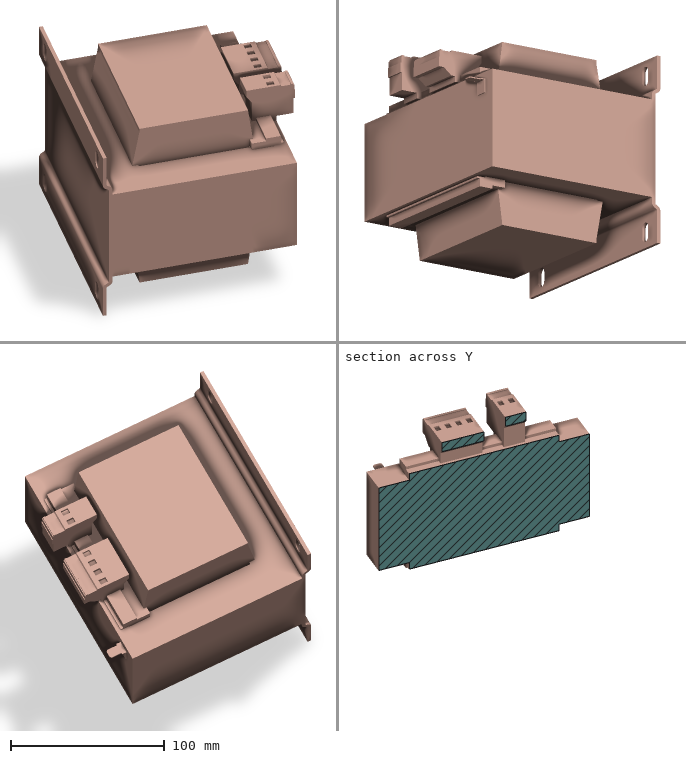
import math

import cadquery as cq


CORE_WIDTH = 150.0
CORE_HEIGHT = 66.5
CORE_DEPTH = 125.0
LIMB = CORE_WIDTH / 6
WINDOW_WIDTH = CORE_WIDTH - 2 * LIMB
CORE_TOP = CORE_HEIGHT / 2

SHEET = 2.5
PLATE_HEIGHT = 127.5
FLANGE_OFFSET = 4.0
FLANGE_BASE = 41.8
BEND_RADIUS = 1.0
BEND_ANGLE = 60.0
SLOT_WIDTH = 6.8
SLOT_LENGTH = 13.0
SLOT_SPACING_X = 122.0
SLOT_SPACING_Z = 106.0

CORE_FRONT = FLANGE_OFFSET + SHEET
CORE_REAR = CORE_FRONT + CORE_DEPTH
WINDOW_FRONT = CORE_FRONT + LIMB
WINDOW_REAR = CORE_REAR - LIMB

COIL_WIDTH = 97.0
COIL_TOP = 62.25
COIL_BASE_FRONT = 27.5
COIL_BASE_REAR = 110.0
COIL_TOP_FRONT = 32.4
COIL_TOP_REAR = 106.0
COIL_FRONT_BAND = 2.5

CARRIER_WIDTH = 106.8
CARRIER_FRONT = 107.1
CARRIER_STEP = 116.8
CARRIER_REAR = 126.8
CARRIER_LOW_TOP = CORE_TOP + 5.2
CARRIER_TOP = CORE_TOP + 7.4
LIP_LENGTH = 2.0
LIP_TOP = CORE_TOP + 2.0
LIP_GAP = 0.75
LIP_GAP_DEPTH = 6.2

TERMINAL_WIDTH = 15.0
LOW_TERMINALS_X = (-2 * TERMINAL_WIDTH, -TERMINAL_WIDTH)
HIGH_TERMINAL_X = TERMINAL_WIDTH
TERMINAL_LIFT = 7.3
TERMINAL_TOP = 56.6
TERMINAL_FRONT = 110.2
TERMINAL_NECK_FRONT = 113.9
TERMINAL_REAR = 143.25
TERMINAL_BODY_REAR = TERMINAL_REAR - 1.1
TERMINAL_LIP_REAR = TERMINAL_REAR - 0.5
TERMINAL_BASE = 39.5
RIDGE_FRONT = 140.4
GROOVE_FRONT = 133.9
GROOVE_SLOPE = 0.6
CUTBACK_TOP_Y = 139.5
CUTBACK_BOTTOM_Y = 133.6
FOOT_BOTTOM = 35.7
FOOT_REAR = 130.6
RIDGE_DROP = 0.6
GROOVE_DROP = 1.1
LIP_TOP_DROP = 1.6
FRONT_FACE_DROP = 5.0
BUMP_TOP_DROP = 5.8
NECK_DROP = 10.0
BUMP_BOTTOM_DROP = 12.4
WIRE_HOLE_FRACTIONS = (0.25, 0.75)
WIRE_HOLE_WIDTH = 3.6
WIRE_HOLE_LENGTH = 5.0
WIRE_HOLE_DEPTH = 2.0
WIRE_HOLE_Y = 127.4

TAB_X = -62.6
TAB_SHEET = 0.8
TAB_TOP = 28.4
TAB_REAR = 142.9
TAB_WIDTH = 6.3
TAB_CHAMFER = 1.0
TAB_ROOT_WIDTH = 8.4
TAB_ROOT_REAR = 134.8
TAB_LEG_BOTTOM = 18.9


def box(x0, x1, y0, y1, z0, z1):
    return cq.Workplane("XY").box(x1 - x0, y1 - y0, z1 - z0, centered=False).translate((x0, y0, z0))


def extrude_along_x(points, x0, x1):
    """Extrude a closed outline of (y, z) points from x0 to x1."""
    return cq.Workplane("YZ").workplane(offset=x0).polyline(points).close().extrude(x1 - x0)


def make_core():
    """E-shaped stack and closing yoke around one rectangular window."""
    half = CORE_WIDTH / 2
    stack = box(-half, half, CORE_FRONT, WINDOW_REAR, -CORE_TOP, CORE_TOP)
    half_window = WINDOW_WIDTH / 2
    stack = stack.cut(box(-half_window, half_window, WINDOW_FRONT, WINDOW_REAR, -CORE_TOP, CORE_TOP))
    yoke = box(-half, half, WINDOW_REAR, CORE_REAR, -CORE_TOP, CORE_TOP)
    return stack.union(yoke, clean=False)


def make_coil():
    """Coil inside the window, with a tapered head above and below the core."""
    half = COIL_WIDTH / 2
    head_points = [
        (COIL_BASE_FRONT, CORE_TOP),
        (COIL_TOP_FRONT, COIL_TOP - COIL_FRONT_BAND),
        (COIL_TOP_FRONT, COIL_TOP),
        (COIL_TOP_REAR, COIL_TOP),
        (COIL_BASE_REAR, CORE_TOP),
    ]
    head = extrude_along_x(head_points, -half, half)
    winding = box(-half, half, WINDOW_FRONT, WINDOW_REAR, -CORE_TOP, CORE_TOP)
    return winding.union(head).union(head.mirror("XY"))


def make_flange():
    """Upper half of the mounting plate: web, S-shaped double bend and flange."""
    angle = math.radians(BEND_ANGLE)
    outer_radius = BEND_RADIUS + SHEET
    bend_sum = BEND_RADIUS + outer_radius
    slant = (FLANGE_OFFSET - bend_sum * (1 - math.cos(angle))) / math.sin(angle)
    web_end = FLANGE_BASE - bend_sum * math.sin(angle) - slant * math.cos(angle)
    flange_centre_y = SHEET + BEND_RADIUS
    web_centre_y = FLANGE_OFFSET - BEND_RADIUS

    def flange_bend(radius, turn):
        return (flange_centre_y - radius * math.cos(turn), FLANGE_BASE - radius * math.sin(turn))

    def web_bend(radius, turn):
        return (web_centre_y + radius * math.cos(turn), web_end + radius * math.sin(turn))

    profile = (
        cq.Workplane("YZ")
        .workplane(offset=-CORE_WIDTH / 2)
        .moveTo(FLANGE_OFFSET, 0)
        .lineTo(FLANGE_OFFSET, web_end)
        .threePointArc(web_bend(BEND_RADIUS, angle / 2), web_bend(BEND_RADIUS, angle))
        .lineTo(*flange_bend(outer_radius, angle))
        .threePointArc(flange_bend(outer_radius, angle / 2), (0, FLANGE_BASE))
        .lineTo(0, PLATE_HEIGHT / 2)
        .lineTo(SHEET, PLATE_HEIGHT / 2)
        .lineTo(SHEET, FLANGE_BASE)
        .threePointArc(flange_bend(BEND_RADIUS, angle / 2), flange_bend(BEND_RADIUS, angle))
        .lineTo(*web_bend(outer_radius, angle))
        .threePointArc(web_bend(outer_radius, angle / 2), (CORE_FRONT, web_end))
        .lineTo(CORE_FRONT, 0)
        .close()
    )
    return profile.extrude(CORE_WIDTH)


def make_plate():
    flange = make_flange()
    slots = (
        cq.Workplane("XZ")
        .rarray(SLOT_SPACING_X, SLOT_SPACING_Z, 2, 2)
        .slot2D(SLOT_LENGTH, SLOT_WIDTH, 90)
        .extrude(-SHEET)
    )
    return flange.union(flange.mirror("XY")).cut(slots)


def make_carrier():
    """Stepped rail on top of the core, with a rear lip held clear of the core."""
    lip_rear = CARRIER_REAR + LIP_LENGTH
    gap_front = lip_rear - LIP_GAP_DEPTH
    lip_bottom = CORE_TOP + LIP_GAP
    points = [
        (CARRIER_FRONT, CORE_TOP),
        (CARRIER_FRONT, CARRIER_LOW_TOP),
        (CARRIER_STEP, CARRIER_LOW_TOP),
        (CARRIER_STEP, CARRIER_TOP),
        (CARRIER_REAR, CARRIER_TOP),
        (CARRIER_REAR, LIP_TOP),
        (lip_rear, LIP_TOP),
        (lip_rear, lip_bottom),
        (gap_front, lip_bottom),
        (gap_front, CORE_TOP),
    ]
    return extrude_along_x(points, -CARRIER_WIDTH / 2, CARRIER_WIDTH / 2)


def make_terminal(x0, lift):
    """One two-wire terminal block, raised by lift, standing on the upper carrier."""
    x1 = x0 + TERMINAL_WIDTH
    top = TERMINAL_TOP + lift
    ridge_top = top - RIDGE_DROP
    groove = top - GROOVE_DROP
    lip_top = top - LIP_TOP_DROP
    bump_top = top - BUMP_TOP_DROP
    bump_bottom = top - BUMP_BOTTOM_DROP
    points = [
        (TERMINAL_NECK_FRONT, CARRIER_LOW_TOP),
        (TERMINAL_NECK_FRONT, top - NECK_DROP),
        (TERMINAL_FRONT, top - FRONT_FACE_DROP),
        (TERMINAL_FRONT, top),
        (GROOVE_FRONT - GROOVE_SLOPE, top),
        (GROOVE_FRONT, groove),
        (RIDGE_FRONT, groove),
        (RIDGE_FRONT, ridge_top),
        (TERMINAL_BODY_REAR, ridge_top),
        (TERMINAL_BODY_REAR, lip_top),
        (TERMINAL_LIP_REAR, lip_top),
        (TERMINAL_LIP_REAR, bump_top),
        (TERMINAL_REAR, bump_top),
        (TERMINAL_REAR, bump_bottom),
    ]
    if lift > 0:
        points += [(TERMINAL_BODY_REAR, bump_bottom), (TERMINAL_BODY_REAR, TERMINAL_BASE)]
    else:
        points += [(CUTBACK_TOP_Y, bump_bottom), (CUTBACK_BOTTOM_Y, TERMINAL_BASE)]
    points += [
        (FOOT_REAR, TERMINAL_BASE),
        (FOOT_REAR, FOOT_BOTTOM),
        (CARRIER_REAR, FOOT_BOTTOM),
        (CARRIER_REAR, CARRIER_LOW_TOP),
    ]
    block = extrude_along_x(points, x0, x1)
    for fraction in WIRE_HOLE_FRACTIONS:
        centre = x0 + fraction * TERMINAL_WIDTH
        block = block.cut(
            box(
                centre - WIRE_HOLE_WIDTH / 2,
                centre + WIRE_HOLE_WIDTH / 2,
                WIRE_HOLE_Y - WIRE_HOLE_LENGTH / 2,
                WIRE_HOLE_Y + WIRE_HOLE_LENGTH / 2,
                top - WIRE_HOLE_DEPTH,
                top,
            )
        )
    return block


def make_earth_tab():
    """L-shaped sheet tab on the rear face of the core."""
    half_root = TAB_ROOT_WIDTH / 2
    half_blade = TAB_WIDTH / 2
    tab_bottom = TAB_TOP - TAB_SHEET
    leg = box(
        TAB_X - half_root, TAB_X + half_root, CORE_REAR, CORE_REAR + TAB_SHEET, TAB_LEG_BOTTOM, TAB_TOP
    )
    root = box(TAB_X - half_root, TAB_X + half_root, CORE_REAR, TAB_ROOT_REAR, tab_bottom, TAB_TOP)
    blade = box(TAB_X - half_blade, TAB_X + half_blade, CORE_REAR, TAB_REAR, tab_bottom, TAB_TOP)
    blade = blade.edges("|Z and >Y").chamfer(TAB_CHAMFER)
    return leg.union(root).union(blade)


carrier = make_carrier()
parts = [make_coil(), make_plate(), carrier, carrier.mirror("XY"), make_earth_tab()]
parts += [make_terminal(x, 0) for x in LOW_TERMINALS_X]
parts.append(make_terminal(HIGH_TERMINAL_X, TERMINAL_LIFT))

result = make_core()
for part in parts:
    result = result.union(part, clean=False)